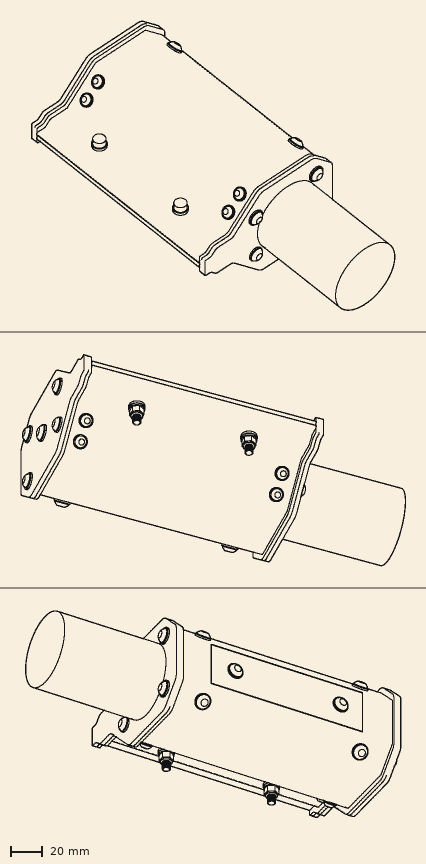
import cadquery as cq
import math


BODY_LENGTH = 152.4
BODY_BACK_Y = 37.0
BODY_HALF_HEIGHT = 31.6
BODY_TOP_BACK_Y = 22.2
BODY_TOP_FRONT_Y = -20.5
FLANGE_HALF_HEIGHT = 7.3
FLANGE_FRONT_Y = -59.1
LIP_HALF_HEIGHT = 2.9
LIP_THICKNESS = 2.1
LIP_ROOT_Y = -63.7
LIP_TIP_Y = -71.0
LIP_SLOT_DEPTH = 2.0
BODY_BEND_RADIUS = 1.0
FLANGE_BEND_RADIUS = 2.0

OUTER_PLATE = 3.0
INNER_PLATE = 2.2
INNER_PLATE_INSET = 0.1
CAP = OUTER_PLATE + INNER_PLATE
CAP_HALF_HEIGHT = 71.17 / 2
CAP_BACK_Y = 38.8
CAP_TOP_BACK_Y = 23.2
CAP_TOP_FRONT_Y = -22.4
CAP_NECK_HALF_HEIGHT = 11.4
CAP_NECK_FRONT_Y = -60.7
CAP_NOSE_HALF_HEIGHT = 7.0
CAP_NOSE_Y = -70.4
CAP_BACK_CORNER_RADIUS = 5.0
CAP_TOP_CORNER_RADIUS = 7.0
CAP_NECK_CORNER_RADIUS = 4.0
CAP_NOSE_CORNER_RADIUS = 1.0

TOTAL_CAP_LENGTH = BODY_LENGTH + 2 * CAP

TUBE_DIAMETER = 50.8
TUBE_LENGTH = 73.37

WASHER_THICKNESS = 1.0
WIDE_WASHER_DIAMETER = 11.0
MIDDLE_WASHER_DIAMETER = 10.5
NARROW_WASHER_DIAMETER = 10.0
SLOPE_WASHER_DIAMETER = 9.0
LARGE_HEAD_DIAMETER = 10.5
SMALL_HEAD_DIAMETER = 9.5
SLOPE_HEAD_DIAMETER = 7.6
HEAD_HEIGHT = 2.75
HEAD_RIM = 0.5
HEAD_CROWN_RATIO = 0.5

CAP_BACK_SCREW = (24.4, 20.4)
CAP_FRONT_SCREW = (-27.2, 16.6)

FRONT_SLOPE_SCREW_X = (14.6, 147.8)
FRONT_SLOPE_SCREW_Y = (-26.5, -36.3)
BACK_SLOPE_SCREW_X = (24.4, 138.4)
BACK_SLOPE_SCREW_Y = 29.2

STRIP_X = (27.0, 136.5)
STRIP_HEIGHT = 30.0
STRIP_THICKNESS = 0.5
BACK_HEAD_REACH_Y = 41.09

BOLT_X = (43.2, 119.4)
BOLT_Y = -51.75
BOLT_HEAD_DIAMETER = 8.5
BOLT_HEAD_TOP_Z = 13.5
BOLT_WASHER_DIAMETER = 10.0
BOLT_WASHER_TOP_Z = 9.2
LOWER_WASHER_DIAMETER = 10.5
LOWER_WASHER_BOTTOM_Z = -9.0
SPRING_WASHER_BOTTOM_Z = -10.4
NUT_ACROSS_FLATS = 8.0
NUT_BOTTOM_Z = -14.7
NUT_COLLAR_DIAMETER = 7.6
NUT_COLLAR_BOTTOM_Z = -15.8
THREAD_DIAMETER = 5.2
THREAD_PITCH = 0.8
THREAD_DEPTH = 0.4
THREAD_TURNS = 7


def prism(points, x_start, length):
    """Extrude a closed (Y, Z) outline along +X."""
    return cq.Workplane("YZ", origin=(x_start, 0, 0)).polyline(points).close().extrude(length)


def mirrored_outline(upper):
    """Complete an outline from its upper half, listed from back to front."""
    return upper + [(y, -z) for y, z in reversed(upper)]


def round_edges(solid, corners, radius):
    """Fillet the X-direction edges standing at the given (Y, Z) corners and at their mirrors."""
    middle_x = solid.val().Center().x
    for y, z in corners:
        for edge_z in (z, -z):
            corner = cq.selectors.NearestToPointSelector((middle_x, y, edge_z))
            solid = solid.edges(corner).fillet(radius)
    return solid


def make_body():
    slope_foot_y = BODY_TOP_FRONT_Y - (BODY_HALF_HEIGHT - FLANGE_HALF_HEIGHT)
    back_corner_z = BODY_HALF_HEIGHT - (BODY_BACK_Y - BODY_TOP_BACK_Y)
    lip_radius = LIP_THICKNESS / 2
    lip_centre_y = LIP_TIP_Y + lip_radius
    upper = [
        (BODY_BACK_Y, back_corner_z),
        (BODY_TOP_BACK_Y, BODY_HALF_HEIGHT),
        (BODY_TOP_FRONT_Y, BODY_HALF_HEIGHT),
        (slope_foot_y, FLANGE_HALF_HEIGHT),
        (FLANGE_FRONT_Y, FLANGE_HALF_HEIGHT),
        (LIP_ROOT_Y, LIP_HALF_HEIGHT),
        (lip_centre_y, LIP_HALF_HEIGHT),
    ]
    body = prism(mirrored_outline(upper), CAP, BODY_LENGTH)
    body = round_edges(body, upper[:4] + upper[5:6], BODY_BEND_RADIUS)
    body = round_edges(body, upper[4:5], FLANGE_BEND_RADIUS)
    for side in (1, -1):
        lip_centre_z = side * (LIP_HALF_HEIGHT - lip_radius)
        lip = cq.Workplane("YZ", origin=(CAP, lip_centre_y, lip_centre_z))
        body = body.union(lip.circle(lip_radius).extrude(BODY_LENGTH))
    slot_height = 2 * (LIP_HALF_HEIGHT - LIP_THICKNESS)
    slot = cq.Workplane("XY").box(BODY_LENGTH, LIP_SLOT_DEPTH, slot_height, centered=(False, False, True))
    return body.cut(slot.translate((CAP, LIP_TIP_Y, 0)))


def make_cap_plate(x_start, thickness, inset=0.0):
    """End plate; `inset` lowers the top, front slope and neck but keeps the back and nose faces."""
    top_z = CAP_HALF_HEIGHT - inset
    neck_z = CAP_NECK_HALF_HEIGHT - inset
    nose_z = CAP_NOSE_HALF_HEIGHT - inset
    top_back_y = CAP_TOP_BACK_Y + inset
    upper = [
        (CAP_BACK_Y, top_z - (CAP_BACK_Y - top_back_y)),
        (top_back_y, top_z),
        (CAP_TOP_FRONT_Y, top_z),
        (CAP_TOP_FRONT_Y - (top_z - neck_z), neck_z),
        (CAP_NECK_FRONT_Y, neck_z),
        (CAP_NECK_FRONT_Y - (neck_z - nose_z), nose_z),
        (CAP_NOSE_Y, nose_z),
    ]
    plate = prism(mirrored_outline(upper), x_start, thickness)
    plate = round_edges(plate, upper[:1], CAP_BACK_CORNER_RADIUS)
    plate = round_edges(plate, upper[1:3], CAP_TOP_CORNER_RADIUS)
    plate = round_edges(plate, upper[3:6], CAP_NECK_CORNER_RADIUS)
    return round_edges(plate, upper[6:], CAP_NOSE_CORNER_RADIUS)


def screw_head(base, direction, head_diameter, washer_diameter, washer_thickness=WASHER_THICKNESS):
    """Domed head on a washer, standing on the point `base` along `direction`."""
    rim_radius = head_diameter / 2
    crown_radius = rim_radius * HEAD_CROWN_RATIO
    rim_top = washer_thickness + HEAD_RIM
    top = washer_thickness + HEAD_HEIGHT
    rise = top - rim_top
    centre_z = rim_top + (crown_radius**2 + rise**2 - rim_radius**2) / (2 * rise)
    dome_radius = math.hypot(rim_radius, rim_top - centre_z)
    rim_angle = math.atan2(rim_top - centre_z, rim_radius)
    crown_angle = math.atan2(top - centre_z, crown_radius)
    middle_angle = (rim_angle + crown_angle) / 2
    dome_middle = (
        dome_radius * math.cos(middle_angle),
        centre_z + dome_radius * math.sin(middle_angle),
    )
    head = (
        cq.Workplane("XZ")
        .lineTo(washer_diameter / 2, 0)
        .lineTo(washer_diameter / 2, washer_thickness)
        .lineTo(rim_radius, washer_thickness)
        .lineTo(rim_radius, rim_top)
        .threePointArc(dome_middle, (crown_radius, top))
        .lineTo(0, top)
        .close()
        .revolve(360, (0, 0, 0), (0, 1, 0))
    )
    plane = cq.Plane(origin=base, normal=direction)
    return cq.Workplane(head.val().moved(cq.Location(plane)))


def cap_screws():
    heads = []
    for y, z in (CAP_BACK_SCREW, CAP_FRONT_SCREW):
        for side in (1, -1):
            plain_corner = y < 0 and side < 0
            washer = NARROW_WASHER_DIAMETER if plain_corner else WIDE_WASHER_DIAMETER
            for x, outward in ((0, -1), (TOTAL_CAP_LENGTH, 1)):
                heads.append(screw_head((x, y, side * z), (outward, 0, 0),
                                        SMALL_HEAD_DIAMETER, washer))
    heads.append(screw_head((0, 0, 0), (-1, 0, 0), LARGE_HEAD_DIAMETER, WIDE_WASHER_DIAMETER))
    return heads


def slope_screws():
    heads = []
    for side in (1, -1):
        for y in FRONT_SLOPE_SCREW_Y:
            z = BODY_HALF_HEIGHT - (BODY_TOP_FRONT_Y - y)
            for x in FRONT_SLOPE_SCREW_X:
                heads.append(screw_head((x, y, side * z), (0, -1, side),
                                        SLOPE_HEAD_DIAMETER, SLOPE_WASHER_DIAMETER))
        z = BODY_HALF_HEIGHT - (BACK_SLOPE_SCREW_Y - BODY_TOP_BACK_Y)
        for x in BACK_SLOPE_SCREW_X:
            heads.append(screw_head((x, BACK_SLOPE_SCREW_Y, side * z), (0, 1, side),
                                    SMALL_HEAD_DIAMETER, MIDDLE_WASHER_DIAMETER))
    return heads


def back_cover():
    strip = cq.Workplane("XY").box(
        STRIP_X[1] - STRIP_X[0], STRIP_THICKNESS, STRIP_HEIGHT, centered=(False, False, True)
    ).translate((STRIP_X[0], BODY_BACK_Y, 0))
    washer_thickness = BACK_HEAD_REACH_Y - BODY_BACK_Y - HEAD_HEIGHT
    heads = [
        screw_head((x, BODY_BACK_Y, 0), (0, 1, 0),
                   SMALL_HEAD_DIAMETER, MIDDLE_WASHER_DIAMETER, washer_thickness)
        for x in BOLT_X
    ]
    return [strip] + heads


def rod(x, top_z, bottom_z, diameter):
    """Upright cylinder on the flange bolt line."""
    return cq.Workplane("XY", origin=(x, BOLT_Y, bottom_z)).circle(diameter / 2).extrude(top_z - bottom_z)


def threaded_end(x):
    """Bolt end below the nut, its thread shown as a stack of V-shaped rings."""
    crest = THREAD_DIAMETER / 2
    root = crest - THREAD_DEPTH
    profile = [(0, 0), (root, 0)]
    for turn in range(THREAD_TURNS):
        profile.append((crest, -(turn + 0.5) * THREAD_PITCH))
        profile.append((root, -(turn + 1) * THREAD_PITCH))
    profile.append((0, -THREAD_TURNS * THREAD_PITCH))
    thread = cq.Workplane("XZ").polyline(profile).close().revolve(360, (0, 0, 0), (0, 1, 0))
    return thread.translate((x, BOLT_Y, NUT_COLLAR_BOTTOM_Z))


def flange_bolts():
    pieces = []
    across_corners = NUT_ACROSS_FLATS / math.cos(math.pi / 6)
    nut = (
        cq.Workplane("XY")
        .polygon(6, across_corners)
        .extrude(SPRING_WASHER_BOTTOM_Z - NUT_BOTTOM_Z)
        .rotate((0, 0, 0), (0, 0, 1), 90)
    )
    for x in BOLT_X:
        pieces += [
            rod(x, BOLT_HEAD_TOP_Z, BOLT_WASHER_TOP_Z, BOLT_HEAD_DIAMETER),
            rod(x, BOLT_WASHER_TOP_Z, FLANGE_HALF_HEIGHT, BOLT_WASHER_DIAMETER),
            rod(x, -FLANGE_HALF_HEIGHT, LOWER_WASHER_BOTTOM_Z, LOWER_WASHER_DIAMETER),
            rod(x, LOWER_WASHER_BOTTOM_Z, SPRING_WASHER_BOTTOM_Z, BOLT_WASHER_DIAMETER),
            nut.translate((x, BOLT_Y, NUT_BOTTOM_Z)),
            rod(x, NUT_BOTTOM_Z, NUT_COLLAR_BOTTOM_Z, NUT_COLLAR_DIAMETER),
            threaded_end(x),
        ]
    return pieces


def make_tube():
    return (
        cq.Workplane("YZ", origin=(TOTAL_CAP_LENGTH, 0, 0))
        .circle(TUBE_DIAMETER / 2)
        .extrude(TUBE_LENGTH)
    )


def end_caps():
    right_cap_x = CAP + BODY_LENGTH
    return [
        make_cap_plate(0, OUTER_PLATE),
        make_cap_plate(OUTER_PLATE, INNER_PLATE, INNER_PLATE_INSET),
        make_cap_plate(right_cap_x, INNER_PLATE, INNER_PLATE_INSET),
        make_cap_plate(right_cap_x + INNER_PLATE, OUTER_PLATE),
    ]


result = make_body()
parts = end_caps() + [make_tube()] + cap_screws() + slope_screws() + back_cover() + flange_bolts()
for part in parts:
    result = result.union(part, clean=False)
result = result.clean()